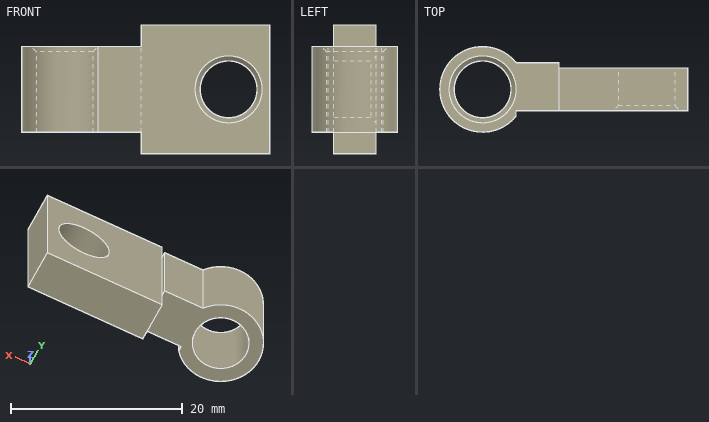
import cadquery as cq
import math

total_length = 28.88
block_side = 15.0
block_thickness = 5.0
barrel_radius = 5.0
barrel_height = 10.0
neck_length = 5.0
bore_radius = 3.3
bore_chamfer = 0.6
cross_hole_to_end = 4.8

block_end = total_length - barrel_radius
block_start = block_end - block_side
neck_start = block_start - neck_length

flat_half_width = math.sqrt(barrel_radius**2 - neck_start**2)
neck_front = -block_thickness / 2
neck_back = flat_half_width


def make_barrel():
    """Upright cylinder with a flat facing the neck."""
    return (
        cq.Workplane("XY")
        .moveTo(neck_start, -flat_half_width)
        .threePointArc((-barrel_radius, 0), (neck_start, flat_half_width))
        .close()
        .extrude(barrel_height / 2, both=True)
    )


def make_neck():
    """Bar of barrel height between the flat and the block."""
    return cq.Workplane("XY").box(
        neck_length, neck_back - neck_front, barrel_height
    ).translate(((neck_start + block_start) / 2, (neck_front + neck_back) / 2, 0))


def make_block():
    """Square plate at the +X end."""
    return cq.Workplane("XY").box(block_side, block_thickness, block_side).translate(
        ((block_start + block_end) / 2, 0, 0)
    )


def make_bore_cutter(length):
    """Bore along Z through the given length, with a 45 degree chamfer at the top."""
    mouth_radius = bore_radius + bore_chamfer
    half = length / 2
    return (
        cq.Workplane("XZ")
        .moveTo(0, -half)
        .lineTo(bore_radius, -half)
        .lineTo(bore_radius, half - bore_chamfer)
        .lineTo(mouth_radius, half)
        .lineTo(0, half)
        .close()
        .revolve(360, (0, 0, 0), (0, 1, 0))
    )


barrel_bore = make_bore_cutter(barrel_height)
cross_hole = (
    make_bore_cutter(block_thickness)
    .rotate((0, 0, 0), (1, 0, 0), 90)
    .translate((block_end - cross_hole_to_end, 0, 0))
)

result = make_barrel().union(make_neck()).union(make_block()).cut(barrel_bore).cut(cross_hole)